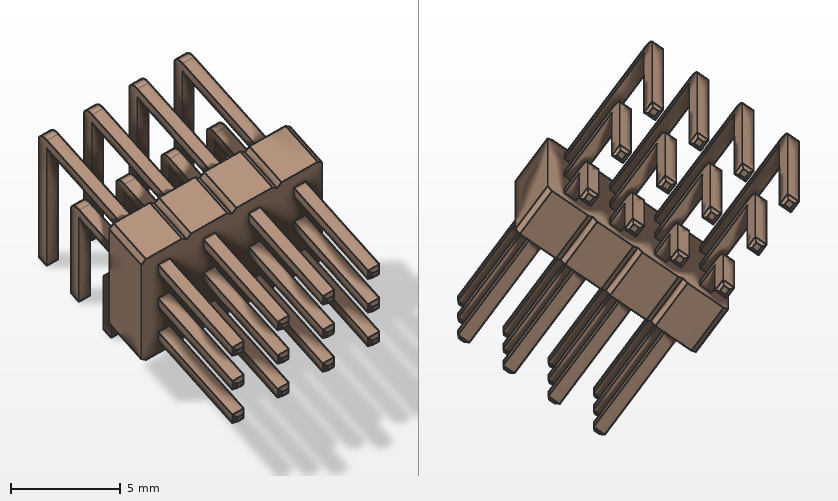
import cadquery as cq

pitch = 2.54
column_count = 4
row_count = 3

body_depth = pitch
body_width = column_count * pitch
body_height = row_count * pitch
body_chamfer = 0.254

pin_size = 0.64
pin_tip_chamfer = 0.16
mating_length = 6.0
tail_length = 3.0
first_tail_x = -2.77

mating_end_x = body_depth / 2 + mating_length
tail_end_z = -tail_length


def make_body_segment(center_y):
    """One pitch-wide slice of the body; adjacent chamfers form the V notches."""
    segment = cq.Workplane("XY").box(body_depth, pitch, body_height)
    segment = segment.edges("|X").chamfer(body_chamfer)
    return segment.translate((0, center_y, body_height / 2))


def make_pin(row, center_y):
    """An L-shaped pin, sharp inside the bend and rounded outside it."""
    center_z = (row + 0.5) * pitch
    tail_x = first_tail_x - row * pitch
    half = pin_size / 2

    outer_x = tail_x - half
    inner_x = tail_x + half
    top_z = center_z + half
    bottom_z = center_z - half

    pin = (
        cq.Workplane("XZ", origin=(0, center_y, 0))
        .moveTo(outer_x, tail_end_z)
        .lineTo(outer_x, top_z)
        .lineTo(mating_end_x, top_z)
        .lineTo(mating_end_x, bottom_z)
        .lineTo(inner_x, bottom_z)
        .lineTo(inner_x, tail_end_z)
        .close()
        .extrude(half, both=True)
    )
    pin = pin.edges("|Y").edges("<X and >Z").fillet(pin_size)
    pin = pin.faces(">X").chamfer(pin_tip_chamfer)
    return pin.faces("<Z").chamfer(pin_tip_chamfer)


column_centers = [
    (column + 0.5) * pitch - body_width / 2 for column in range(column_count)
]

result = make_body_segment(column_centers[0])
for center_y in column_centers[1:]:
    result = result.union(make_body_segment(center_y))
result = result.clean()

for center_y in column_centers:
    for row in range(row_count):
        result = result.union(make_pin(row, center_y))